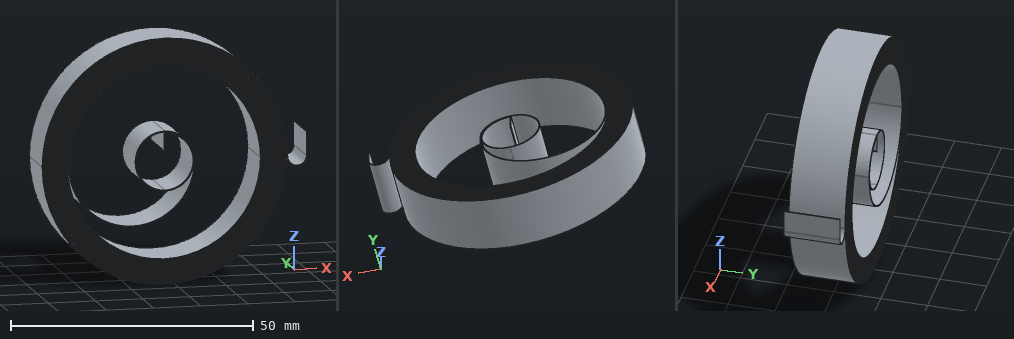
import cadquery as cq


strip_width = 12.0
coil_outer_radius = 26.0
coil_inner_radius = 20.25
coil_turns = 15
hub_radius = 6.35
hub_gap = 0.085
tab_bottom = 2.2
hook_radius = 2.1
hook_height = 5.05

thickness = (coil_outer_radius - coil_inner_radius) / (2 * coil_turns - 1)
pitch = 2 * thickness


def strip_joints(offset):
    """(x, z) points where the arcs of one strip face meet, from the tab to the hook.

    The offset moves the face away from the strip's centreline, positive to the left of travel,
    which is outwards on the spiral and towards the inside of the hook's bend.
    """
    hub_start = hub_radius - thickness - hub_gap + offset
    hub_end = hub_radius + offset
    joints = [(0, hub_start), (0, -hub_start), (0, hub_end), (hub_end, 0)]
    for turn in range(coil_turns):
        turn_radius = coil_inner_radius + thickness / 2 + turn * pitch + offset
        joints += [(-turn_radius, 0), (turn_radius, 0)]
    coil_end = turn_radius - offset
    joints.append((coil_end + 2 * hook_radius - offset, 0))
    return joints


def add_tangent_arcs(profile, points):
    """Continue the profile through the points with arcs tangent to what comes before."""
    for point in points:
        profile = profile.tangentArcPoint(point, relative=False)
    return profile


outer_face = strip_joints(thickness / 2)
inner_face = strip_joints(-thickness / 2)
tab_top = outer_face[0][1]
hook_inside = outer_face[-1][0]
hook_outside = inner_face[-1][0]

profile = cq.Workplane("XZ").moveTo(-thickness, tab_top).lineTo(*outer_face[0])
profile = add_tangent_arcs(profile, outer_face[1:])

profile = profile.lineTo(hook_inside, hook_height).lineTo(hook_outside, hook_height)
profile = profile.lineTo(*inner_face[-1])

profile = add_tangent_arcs(profile, reversed(inner_face[:-1]))

profile = profile.lineTo(0, tab_bottom).lineTo(-thickness, tab_bottom).close()

result = profile.extrude(strip_width / 2, both=True)